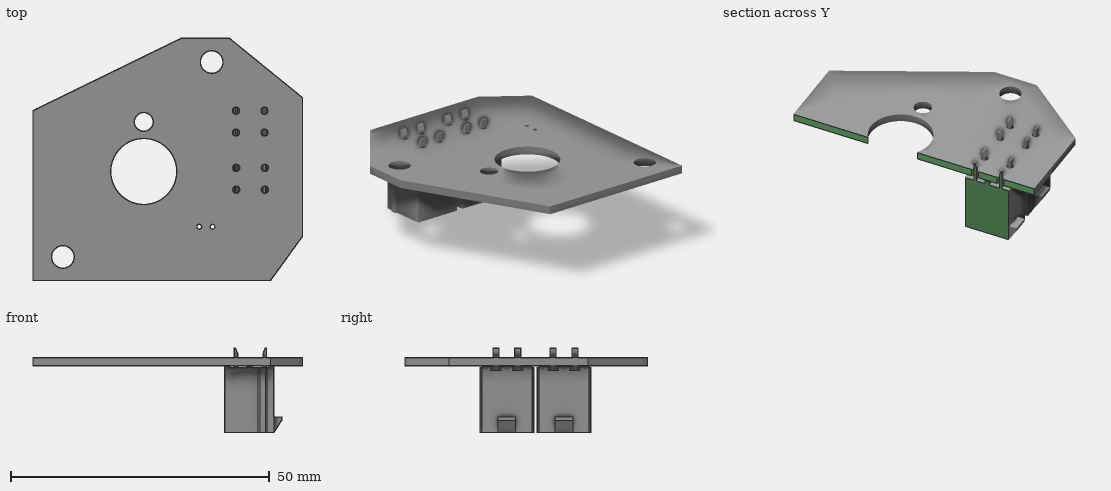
import cadquery as cq

OVERLAP = 0.05

BOARD_LENGTH = 52.05
BOARD_WIDTH = 46.85
BOARD_THICKNESS = 1.6
BOARD_OUTLINE = [
    (0, 0),
    (45.85, 0),
    (BOARD_LENGTH, 8.55),
    (BOARD_LENGTH, 35.35),
    (37.9, BOARD_WIDTH),
    (28.7, BOARD_WIDTH),
    (0, 32.85),
]

SHAFT_HOLE_DIAMETER = 12.7
SHAFT_HOLE_CENTER = (21.4, 21.1)
LOCATING_HOLE_DIAMETER = 3.6
LOCATING_HOLE_OFFSET = 9.6
MOUNTING_HOLE_DIAMETER = 4.3
MOUNTING_HOLE_CENTERS = [(5.8, 4.6), (34.5, 42.25)]
LEAD_HOLE_DIAMETER = 0.9
LEAD_HOLE_CENTERS = [(32.15, 10.4), (34.7, 10.4)]

CONNECTOR_CENTERS = [(42.0, 19.7), (41.95, 30.7)]

PIN_ROW_SPACING = 5.5
PIN_PITCH = 4.2
PIN_THICKNESS = 0.7
PIN_WIDTH = 1.2
PIN_TIP_THICKNESS = 0.2
PIN_TAPER_LENGTH = 1.15
PIN_PROTRUSION = 1.8
PIN_HOLE_DIAMETER = 1.4
PIN_TOP = BOARD_THICKNESS + PIN_PROTRUSION

HOUSING_BOTTOM = -12.85
FOOT_TOP = -0.05
FOOT_HEIGHT = 0.25
HOUSING_TOP = FOOT_TOP - FOOT_HEIGHT
HOUSING_MIN_X = -4.95
HOUSING_MAX_X = 4.55
HOUSING_WIDTH = 9.7
OUTER_FOOT_LENGTH = 0.95
MIDDLE_FOOT_LENGTH = 1.1
MIDDLE_FOOT_X = -0.15
MIDDLE_FOOT_WIDTH = 7.3

RIB_HEIGHT = 0.35
RIB_START_X = 1.4
RIB_END_X = 3.25
NEAR_RIB_LEAD_IN = 0.4
FAR_RIB_LEAD_IN = 0.2
RIB_LEAD_OUT = 0.35

CHANNEL_WIDTH = 2.05
CHANNEL_FLOOR = -0.85

LATCH_TOP = -9.85
LATCH_REACH = 1.5
LATCH_NOSE_HEIGHT = 0.7
LATCH_WIDTH = 3.4


PIN_POSITIONS = [
    (side * PIN_ROW_SPACING / 2, column * PIN_PITCH / 2, side)
    for side in (-1, 1)
    for column in (-1, 1)
]


def drill(centers, diameter):
    """Cylinders through the board thickness."""
    return (
        cq.Workplane("XY")
        .workplane(offset=-OVERLAP)
        .pushPoints(centers)
        .circle(diameter / 2)
        .extrude(BOARD_THICKNESS + 2 * OVERLAP)
    )


def make_board():
    shaft_x, shaft_y = SHAFT_HOLE_CENTER
    locating_center = (shaft_x, shaft_y + LOCATING_HOLE_OFFSET)
    pin_holes = [
        (center_x + pin_x, center_y + pin_y)
        for center_x, center_y in CONNECTOR_CENTERS
        for pin_x, pin_y, _ in PIN_POSITIONS
    ]
    board = cq.Workplane("XY").polyline(BOARD_OUTLINE).close().extrude(BOARD_THICKNESS)
    for centers, diameter in [
        ([SHAFT_HOLE_CENTER], SHAFT_HOLE_DIAMETER),
        ([locating_center], LOCATING_HOLE_DIAMETER),
        (MOUNTING_HOLE_CENTERS, MOUNTING_HOLE_DIAMETER),
        (LEAD_HOLE_CENTERS, LEAD_HOLE_DIAMETER),
        (pin_holes, PIN_HOLE_DIAMETER),
    ]:
        board = board.cut(drill(centers, diameter))
    return board


def make_block(min_x, max_x, center_y, width, bottom, top):
    return (
        cq.Workplane("XY")
        .box(max_x - min_x, width, top - bottom, centered=False)
        .translate((min_x, center_y - width / 2, bottom))
    )


def extrude_side_profile(points, center_y, width):
    """Extrude an XZ profile along Y, centred on center_y."""
    return (
        cq.Workplane("XZ", origin=(0, center_y, 0))
        .polyline(points)
        .close()
        .extrude(width / 2, both=True)
    )


def rib_side(direction, lead_in):
    """Outline of one Y side of the housing, in order of rising X."""
    wall_y = direction * HOUSING_WIDTH / 2
    rib_y = wall_y + direction * RIB_HEIGHT
    return [
        (HOUSING_MIN_X, wall_y),
        (RIB_START_X, wall_y),
        (RIB_START_X + lead_in, rib_y),
        (RIB_END_X - RIB_LEAD_OUT, rib_y),
        (RIB_END_X, wall_y),
        (HOUSING_MAX_X, wall_y),
    ]


def make_housing_block():
    """Block with a vertical rib, sloped on both flanks, along each Y side."""
    near_side = rib_side(-1, NEAR_RIB_LEAD_IN)
    far_side = rib_side(1, FAR_RIB_LEAD_IN)
    return (
        cq.Workplane("XY", origin=(0, 0, HOUSING_BOTTOM))
        .polyline(near_side + far_side[::-1])
        .close()
        .extrude(HOUSING_TOP - HOUSING_BOTTOM)
    )


def make_feet():
    """Bars across the housing top, just under the board; the middle one is shorter."""
    half_length = MIDDLE_FOOT_LENGTH / 2
    spans = [
        (HOUSING_MIN_X, HOUSING_MIN_X + OUTER_FOOT_LENGTH, HOUSING_WIDTH),
        (MIDDLE_FOOT_X - half_length, MIDDLE_FOOT_X + half_length, MIDDLE_FOOT_WIDTH),
        (HOUSING_MAX_X - OUTER_FOOT_LENGTH, HOUSING_MAX_X, HOUSING_WIDTH),
    ]
    return [
        make_block(start, end, 0, width, HOUSING_TOP - OVERLAP, FOOT_TOP)
        for start, end, width in spans
    ]


def make_latch():
    """Wedge-shaped catch at the bottom of the +X side."""
    tip_x = HOUSING_MAX_X + LATCH_REACH
    profile = [
        (HOUSING_MAX_X - OVERLAP, LATCH_TOP),
        (tip_x, LATCH_TOP),
        (tip_x, LATCH_TOP - LATCH_NOSE_HEIGHT),
        (HOUSING_MAX_X, HOUSING_BOTTOM),
        (HOUSING_MAX_X - OVERLAP, HOUSING_BOTTOM),
    ]
    return extrude_side_profile(profile, 0, LATCH_WIDTH)


def make_channel(pin_y, side):
    """Open channel from the middle foot to the housing's outer side."""
    inner_x = MIDDLE_FOOT_X + side * MIDDLE_FOOT_LENGTH / 2
    outer_x = HOUSING_MIN_X - OVERLAP if side < 0 else HOUSING_MAX_X + OVERLAP
    min_x, max_x = sorted((inner_x, outer_x))
    return make_block(min_x, max_x, pin_y, CHANNEL_WIDTH, CHANNEL_FLOOR, FOOT_TOP + OVERLAP)


def make_pin(pin_x, pin_y, side):
    """Flat pin whose inner face slopes to a thin tip; the outer face is straight."""
    outer_x = pin_x + side * PIN_THICKNESS / 2
    inner_x = pin_x - side * PIN_THICKNESS / 2
    profile = [
        (outer_x, CHANNEL_FLOOR - OVERLAP),
        (outer_x, PIN_TOP),
        (outer_x - side * PIN_TIP_THICKNESS, PIN_TOP),
        (inner_x, PIN_TOP - PIN_TAPER_LENGTH),
        (inner_x, CHANNEL_FLOOR - OVERLAP),
    ]
    return extrude_side_profile(profile, pin_y, PIN_WIDTH)


def make_connector(center_x, center_y):
    connector = make_housing_block()
    for foot in make_feet():
        connector = connector.union(foot)
    connector = connector.union(make_latch())
    for pin_x, pin_y, side in PIN_POSITIONS:
        connector = connector.cut(make_channel(pin_y, side))
        connector = connector.union(make_pin(pin_x, pin_y, side))
    return connector.translate((center_x, center_y, 0))


board = make_board()
connectors = [make_connector(x, y) for x, y in CONNECTOR_CENTERS]

result = cq.Compound.makeCompound([board.val(), *[connector.val() for connector in connectors]])